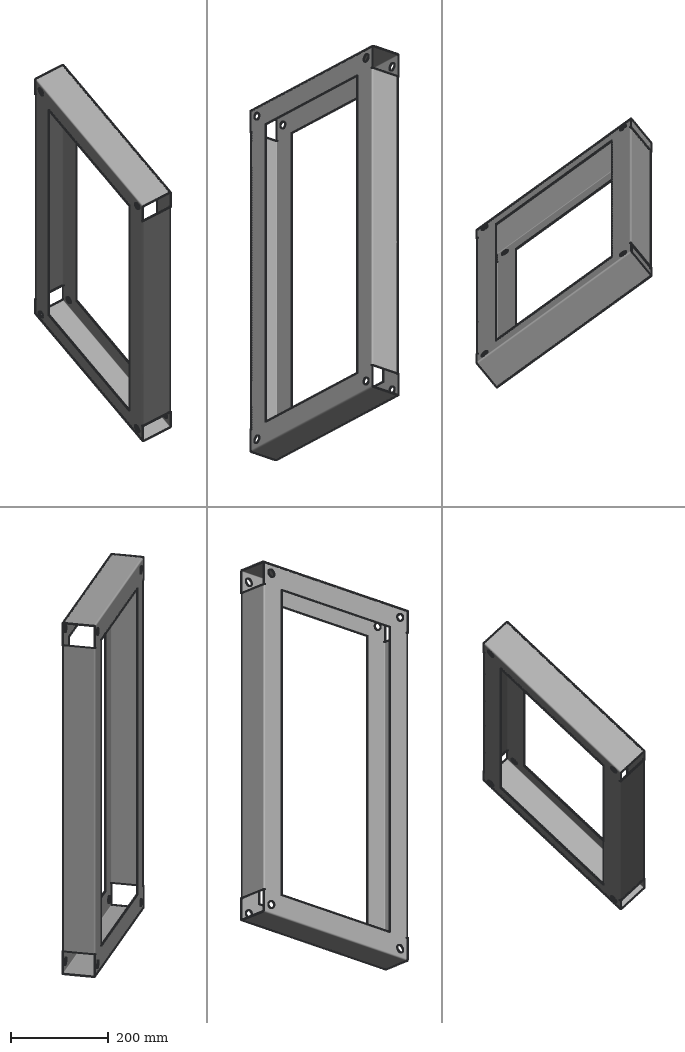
import cadquery as cq

width = 400.0
depth = 70.0
height = 773.0

sheet = 2.0
bend_inner_radius = 1.5
bend_outer_radius = bend_inner_radius + sheet

border = 50.0
opening_width = width - 2 * border
opening_height = height - 2 * border

slot_width = 14.0
slot_length = 17.0
slot_inset = 21.0
slot_angle = 45.0


def rounded_bar(size_x, size_y, size_z, axis, radius):
    """Centred rectangular bar with its edges along the given axis rounded."""
    return cq.Workplane("XY").box(size_x, size_y, size_z).edges("|" + axis).fillet(radius)


def horizontal_tube():
    """Sheet tube open at the left and right, giving the top and bottom walls."""
    outer = rounded_bar(width, depth, height, "X", bend_outer_radius)
    inner = rounded_bar(width, depth - 2 * sheet, height - 2 * sheet, "X", bend_inner_radius)
    return outer.cut(inner)


def vertical_tube():
    """Sheet tube open at the top and bottom, giving the side walls beside the window."""
    outer = rounded_bar(width, depth, opening_height, "Z", bend_outer_radius)
    inner = rounded_bar(
        width - 2 * sheet, depth - 2 * sheet, opening_height, "Z", bend_inner_radius
    )
    return outer.cut(inner)


def face_window():
    """Rectangular window through the front and back faces."""
    return cq.Workplane("XY").box(opening_width, depth, opening_height)


def corner_slot(side_x, side_z):
    """Slot through both faces in one corner, pointing at that corner."""
    return (
        cq.Workplane("XZ")
        .center(side_x * (width / 2 - slot_inset), side_z * (height / 2 - slot_inset))
        .slot2D(slot_length, slot_width, side_x * side_z * slot_angle)
        .extrude(depth / 2, both=True)
    )


middle_band = cq.Workplane("XY").box(width, depth, opening_height)
frame = horizontal_tube().cut(middle_band).union(vertical_tube())
frame = frame.cut(face_window())

for side_x in (-1, 1):
    for side_z in (-1, 1):
        frame = frame.cut(corner_slot(side_x, side_z))

result = frame